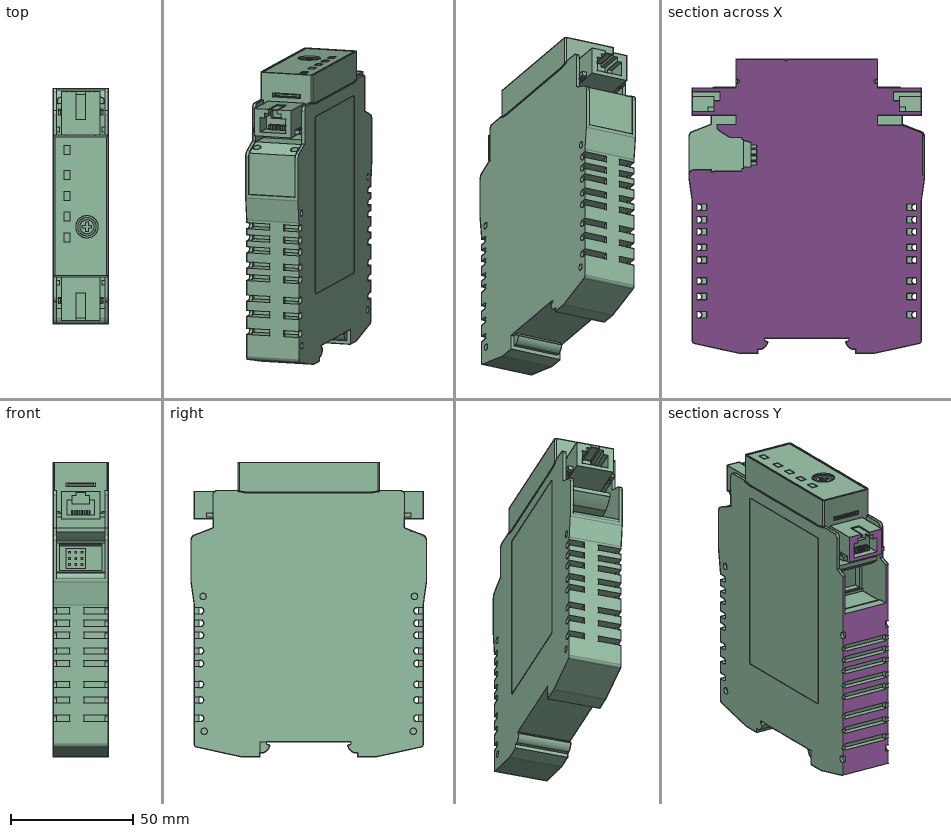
import cadquery as cq

width = 22.5
half_width = width / 2
half_depth = 48.2
height = 120.6
plate_thickness = 1.3
inner_half_width = half_width - plate_thickness
margin = 1.2

neck_half_depth = 39.2
neck_top = 109.1
neck_corner_radius = 1.8
neck_bottom = 93.8
shoulder_top = 90.3
shoulder_radius = 2.4
shoulder_bottom = 71.6
body_half_depth = 46.9
taper_bottom = 62.2
heel_height = 4.2
heel_radius = 1.2
toe_half_depth = 27.6

rail_half_width = 20.0
rail_depth = 6.2
hook_root = 17.2
hook_tip = 15.9
hook_undercut_z = 5.3
hook_tip_z = 4.7
hook_heel = 18.6
hook_bottom = 1.7
hook_bulge = 0.4

cap_half_depth = 29.1
cap_edge_chamfer = 0.6
label_rim = 0.7
label_depth = 0.1
seam_half_length = 25.3
seam_bottom = 108.0
seam_height = 0.4
seam_end_rise = 0.6
seam_depth = 0.2
light_size = (2.4, 3.6)
light_x = -5.7
light_y = (23.0, 12.8, 4.2, -4.2, -12.8)
dial_center = (2.5, -8.5)
dial_well_radius = 4.6
dial_well_depth = 2.4
dial_bore_radius = 3.7
dial_step_depth = 0.6
dial_radius = 2.9
dial_height = 1.5
dial_slot = (3.9, 1.2)
dial_slot_depth = 0.7
cap_slot_size = (12.0, 1.6)
cap_slot_z = 111.4
cap_slot_depth = 0.7
cap_slot_rim = 0.7
cap_slot_rim_z = 0.4

shelf_nose = 36.8
shelf_top = neck_bottom
shelf_nose_bottom = 92.0
shelf_bottom = 88.4
throat_bulge_y = 1.8
throat_bulge_z = 1.0
frame_y = 25.9
floor_z = 75.3
groove_front = 39.1
groove_back = 37.7
groove_depth = 0.8
rear_floor_drop = 0.6
lip_radius = 2.2
cover_y = 47.5
cover_drop = 0.4
screw_x = 8.1
screw_y = 43.0
screw_radius = 1.6
screw_hole_bottom = 89.2

window_half_width = 8.7
window_sill = 76.3
window_front_top = 87.2
window_back_top = 86.3
ledge_bottom = 87.7
ledge_depth = 0.6
foot_top = 75.7
window_depth = 3.0
socket_center = (-2.0, 81.3)
socket_size = 8.1
socket_depth = 2.4
pin_pitch = 2.5
pin_size = 0.7

jack_half_width = 8.0
jack_bottom = 97.5
jack_top = 108.8
port_half_width = 5.5
port_bottom = 99.1
port_top = 105.2
port_depth = 8.9
key_half_width = 3.6
key_bottom = 103.5
key_top = 107.1
key_depth = port_depth + 2.4
latch_half_width = 1.9
latch_length = key_depth
latch_recess = 0.2
latch_opening = 1.2
latch_top = 108.3
contact_count = 8
contact_pitch = 1.03
contact_width = 0.6
contact_height = 1.8
contact_length = 2.4
wing_front = 42.0
wing_bottom = 98.2
wing_top = 99.9
wing_hole_x = 8.7
wing_hole_y = 38.6
wing_hole_size = (1.0, 2.4)
nub_size = (1.2, 1.9, 1.2)
nub_y = 31.4
nub_top = 100.6

vent_z = (59.8, 54.8, 49.8, 43.4, 38.2, 29.7, 23.3, 15.8)
vent_height = 2.5
vent_end = 43.0
vent_inner_end = 41.0
rib_left = -4.6
rib_right = 1.3
rib_back = 44.9

panel_half_depth = 25.3
panel_bottom = 28.8
panel_top = 102.8
panel_corner_radius = 1.0
panel_depth = 0.1
dowel_holes = ((43.3, 65.7), (42.8, 10.5))
dowel_radius = 1.3


def block(x_range, y_range, z_range):
    """Box between two limits along each axis."""
    (x0, x1), (y0, y1), (z0, z1) = x_range, y_range, z_range
    return cq.Workplane("XY").box(x1 - x0, y1 - y0, z1 - z0, centered=False).translate((x0, y0, z0))


def extrude_across(profile, half_length):
    """Extrude a closed YZ profile symmetrically about X = 0."""
    return profile.close().extrude(half_length, both=True)


def mirrored(solid):
    """Copy a solid to the opposite Y end by mirroring."""
    return solid.mirror("XZ")


def make_housing():
    half = [
        (neck_half_depth, neck_top),
        (neck_half_depth, neck_bottom),
        (half_depth, shoulder_top),
        (half_depth, shoulder_bottom),
        (body_half_depth, taper_bottom),
        (body_half_depth, heel_height),
        (toe_half_depth, 0),
        (rail_half_width, 0),
        (rail_half_width, rail_depth),
    ]
    outline = half + [(-y, z) for y, z in reversed(half)]
    body = extrude_across(cq.Workplane("YZ").polyline(outline), half_width)
    rounded_corners = (
        (neck_half_depth, neck_top, neck_corner_radius),
        (half_depth, shoulder_top, shoulder_radius),
        (body_half_depth, heel_height, heel_radius),
    )
    for y, z, radius in rounded_corners:
        for side in (1, -1):
            corner = cq.selectors.NearestToPointSelector((0, side * y, z))
            body = body.edges("|X").edges(corner).fillet(radius)
    return body


def make_rail_hook(half_length):
    """Hook that grips the rail, at the +Y side of the slot."""
    bend = ((hook_tip + hook_heel) / 2 - hook_bulge, (hook_tip_z + hook_bottom) / 2 - hook_bulge)
    profile = (
        cq.Workplane("YZ")
        .moveTo(rail_half_width + margin, rail_depth + margin)
        .lineTo(hook_root, rail_depth + margin)
        .lineTo(hook_root, hook_undercut_z)
        .lineTo(hook_tip, hook_tip_z)
        .threePointArc(bend, (hook_heel, hook_bottom))
        .lineTo(rail_half_width + margin, hook_bottom)
    )
    return extrude_across(profile, half_length)


def make_cap():
    cap = block((-half_width, half_width), (-cap_half_depth, cap_half_depth), (neck_top, height))
    cap = cap.edges("|Z").chamfer(cap_edge_chamfer)
    label = (
        cq.Workplane("XY", origin=(0, 0, height - label_depth))
        .rect(width - 2 * label_rim, 2 * (cap_half_depth - label_rim))
        .extrude(margin)
    )
    face_z = height - label_depth
    face = cq.Workplane("XY", origin=(0, 0, face_z))
    lights = face.pushPoints([(light_x, y) for y in light_y]).rect(*light_size).extrude(-label_depth)
    dial_face = face.center(*dial_center)
    well = dial_face.circle(dial_well_radius).extrude(-dial_step_depth)
    well = well.union(dial_face.circle(dial_bore_radius).extrude(-dial_well_depth))
    cap = cap.cut(label).cut(lights).cut(well)

    well_floor = cq.Workplane("XY", origin=(*dial_center, face_z - dial_well_depth))
    dial = well_floor.circle(dial_radius).extrude(dial_height)
    for length, breadth in (dial_slot, dial_slot[::-1]):
        cross_arm = well_floor.workplane(offset=dial_height - dial_slot_depth)
        dial = dial.cut(cross_arm.rect(length, breadth).extrude(dial_slot_depth))
    cap = cap.union(dial)

    slot_x, slot_z = cap_slot_size
    slot = cq.Workplane("XY").box(slot_x, 2 * cap_slot_depth, slot_z)
    slot = slot.union(
        cq.Workplane("XY").box(slot_x - 2 * cap_slot_rim, 4 * cap_slot_depth, slot_z - 2 * cap_slot_rim_z)
    )
    slot = slot.translate((0, -cap_half_depth, cap_slot_z))
    return cap.cut(slot).cut(mirrored(slot))


def make_open_pocket():
    """Open bay at the -Y end: space above the shelf, and the bay below its curved underside."""
    outside = -half_depth - margin
    throat = -(shelf_nose + frame_y) / 2
    profile = (
        cq.Workplane("YZ")
        .moveTo(outside, neck_top + margin)
        .lineTo(-cap_half_depth, neck_top + margin)
        .lineTo(-cap_half_depth, shelf_top)
        .lineTo(-shelf_nose, shelf_top)
        .lineTo(-shelf_nose, shelf_nose_bottom)
        .threePointArc((throat - throat_bulge_y, shelf_bottom + throat_bulge_z), (throat, shelf_bottom))
        .lineTo(-frame_y, shelf_bottom)
        .lineTo(-frame_y, floor_z - rear_floor_drop)
        .lineTo(-groove_back, floor_z - rear_floor_drop)
        .lineTo(-groove_back, floor_z - groove_depth)
        .lineTo(-groove_front, floor_z - groove_depth)
        .lineTo(-groove_front, floor_z)
        .lineTo(-half_depth + lip_radius, floor_z)
        .radiusArc((-half_depth, floor_z - lip_radius), -lip_radius)
        .lineTo(outside, floor_z - lip_radius)
    )
    return extrude_across(profile, inner_half_width)


def make_covered_pocket():
    """Bay at the +Y end, closed below the jack by a sloping cover."""
    outside = half_depth + margin
    slope = (neck_bottom - shoulder_top) / (half_depth - neck_half_depth)
    cover_front_z = neck_bottom - slope * (cover_y - neck_half_depth) - cover_drop
    bottom = floor_z - lip_radius
    outline = [
        (outside, neck_top + margin),
        (cap_half_depth, neck_top + margin),
        (cap_half_depth, shelf_top - cover_drop),
        (neck_half_depth, shelf_top - cover_drop),
        (cover_y, cover_front_z),
        (cover_y, bottom),
        (outside, bottom),
    ]
    bay = extrude_across(cq.Workplane("YZ").polyline(outline), inner_half_width)
    screw_holes = (
        cq.Workplane("XY", origin=(0, screw_y, screw_hole_bottom))
        .pushPoints([(screw_x, 0), (-screw_x, 0)])
        .circle(screw_radius)
        .extrude(shelf_top - screw_hole_bottom)
    )
    return bay.union(screw_holes)


def add_window(body):
    back_y = -frame_y + window_depth
    window = cq.Workplane("YZ").polyline(
        [
            (-frame_y, window_sill),
            (back_y, window_sill),
            (back_y, window_back_top),
            (-frame_y, window_front_top),
        ]
    )
    window = extrude_across(window, window_half_width)
    x, z = socket_center
    back_wall = cq.Workplane("XZ", origin=(x, back_y, z))
    socket = back_wall.rect(socket_size, socket_size).extrude(-socket_depth)
    pins = (
        back_wall.rarray(pin_pitch, pin_pitch, 3, 3)
        .rect(pin_size, pin_size)
        .extrude(-socket_depth - margin)
    )
    body = body.cut(window).cut(socket).union(pins)

    ledge_width = (-inner_half_width, inner_half_width)
    ledge_reach = (-frame_y - ledge_depth, -frame_y)
    for z_range in ((ledge_bottom, shelf_bottom), (floor_z - rear_floor_drop, foot_top)):
        body = body.union(block(ledge_width, ledge_reach, z_range))
    return body


def make_jack():
    """Network jack at the -Y end with its fixing wings, running back into the housing."""
    front = -body_half_depth
    root = -cap_half_depth + margin
    jack = block((-jack_half_width, jack_half_width), (front, root), (jack_bottom, jack_top))
    openings = (
        block((-port_half_width, port_half_width), (front, front + port_depth), (port_bottom, port_top)),
        block((-key_half_width, key_half_width), (front, front + key_depth), (key_bottom, key_top)),
        block((-latch_half_width, latch_half_width), (front, front + key_depth), (key_bottom, latch_top)),
        block((-latch_half_width, latch_half_width), (front, front + latch_opening), (key_bottom, jack_top)),
        block(
            (-latch_half_width, latch_half_width),
            (front, front + latch_length),
            (jack_top - latch_recess, jack_top),
        ),
    )
    for opening in openings:
        jack = jack.cut(opening)

    port_back = front + port_depth
    for i in range(contact_count):
        x = (i - (contact_count - 1) / 2) * contact_pitch
        contact = block(
            (x - contact_width / 2, x + contact_width / 2),
            (port_back - contact_length, port_back + margin),
            (port_bottom, port_bottom + contact_height),
        )
        jack = jack.union(contact)

    wings = block((-inner_half_width, inner_half_width), (-wing_front, root), (wing_bottom, wing_top))
    port_gap = block((-port_half_width, port_half_width), (-wing_front, root), (wing_bottom, wing_top))
    wings = wings.cut(port_gap)

    wing_holes = (
        cq.Workplane("XY", origin=(0, 0, wing_bottom))
        .pushPoints([(wing_hole_x, -wing_hole_y), (-wing_hole_x, -wing_hole_y)])
        .rect(*wing_hole_size)
        .extrude(wing_top - wing_bottom)
    )
    jack = jack.union(wings.cut(wing_holes))

    nub_x, nub_length, nub_z = nub_size
    for side in (1, -1):
        nub_center = (side * (inner_half_width - nub_x / 2), -nub_y, nub_top - nub_z / 2)
        jack = jack.union(cq.Workplane("XY").box(nub_x, nub_length, nub_z).translate(nub_center))
    return jack


def make_vents():
    """All ventilation slots of the -Y end wall."""
    outside = -half_depth - margin
    end_radius = vent_height / 2
    across = (-half_width - margin, half_width + margin)
    rib = (rib_left, rib_right)
    vents = []
    for z in vent_z:
        span = (z - vent_height / 2, z + vent_height / 2)
        round_end = (
            cq.Workplane("YZ", origin=(0, -vent_end - end_radius, z))
            .circle(end_radius)
            .extrude(half_width + margin, both=True)
        )
        slot = block(across, (outside, -vent_end - end_radius), span).union(round_end)
        slot = slot.union(
            block((-inner_half_width, inner_half_width), (outside, -vent_inner_end), span)
        )
        vents.append(slot.cut(block(rib, (outside, -rib_back), span)))
    return vents


def add_side_details(body):
    panel = (
        block(
            (-half_width - margin, -half_width + panel_depth),
            (-panel_half_depth, panel_half_depth),
            (panel_bottom, panel_top),
        )
        .edges("|X")
        .fillet(panel_corner_radius)
    )
    body = body.cut(panel)
    seam_path = [
        (-cap_half_depth, seam_bottom + seam_end_rise),
        (-seam_half_length, seam_bottom),
        (seam_half_length, seam_bottom),
        (cap_half_depth, seam_bottom + seam_end_rise),
    ]
    seam_outline = seam_path + [(y, z + seam_height) for y, z in reversed(seam_path)]
    for side in (1, -1):
        face_x = side * half_width
        seam_plane = cq.Workplane("YZ", origin=(face_x, 0, 0))
        body = body.cut(seam_plane.polyline(seam_outline).close().extrude(-side * seam_depth))
        holes = (
            cq.Workplane("YZ", origin=(face_x, 0, 0))
            .pushPoints([(end * y, z) for y, z in dowel_holes for end in (1, -1)])
            .circle(dowel_radius)
            .extrude(-side * plate_thickness)
        )
        body = body.cut(holes)
    return body


housing = make_housing()
housing = housing.union(make_rail_hook(half_width)).union(mirrored(make_rail_hook(inner_half_width)))
housing = housing.union(make_cap())
housing = housing.cut(make_open_pocket()).cut(make_covered_pocket())
housing = add_window(housing)

jack = make_jack()
housing = housing.union(jack).union(mirrored(jack))

for vent in make_vents():
    housing = housing.cut(vent).cut(mirrored(vent))

result = add_side_details(housing).solids()